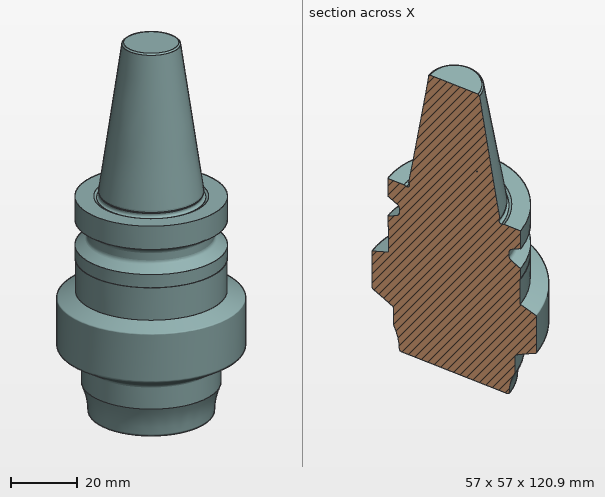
import cadquery as cq
import math

total_height = 120.9
gauge_height = 72.5
gauge_bottom = 72.0
relief_top = 71.6
flange_top = 70.6
groove_top = 63.0
groove_bottom = 54.8
flange_bottom = 50.4
shoulder_top = 39.8
collar_top = 37.6
collar_bottom = 21.8
nose_top = 9.9

gauge_radius = 15.8
relief_radius = 15.6
undercut_radius = 17.3
flange_radius = 23.0
groove_radius = 19.1
neck_radius = 22.9
collar_diameter = 57.0
collar_radius = collar_diameter / 2
nose_radius = 21.0
nose_tip_radius = 19.1

tip_chamfer = 0.5
undercut_depth = 0.4
undercut_fillet = 0.8
groove_fillet = 1.2
collar_top_fillet = 0.5
collar_bottom_fillet = 1.0
nose_root_fillet = 1.0
nose_edge_fillet = 0.8

taper_slope = 7 / 48
slope_rise = math.tan(math.radians(30))
tip_radius = gauge_radius - (total_height - gauge_height) * taper_slope
groove_rise = (flange_radius - groove_radius) * slope_rise
nose_root = collar_bottom - (collar_radius - nose_radius) * slope_rise

undercut_floor = flange_top - undercut_depth
undercut_floor_radius = relief_radius + undercut_fillet

flank_depth = nose_radius - nose_tip_radius
flank_height = nose_top - nose_edge_fillet
flank_arc_radius = (flank_height**2 + flank_depth**2) / (2 * flank_depth)
flank_mid_angle = math.asin(flank_height / flank_arc_radius) / 2
flank_middle = (
    nose_tip_radius + flank_arc_radius * (1 - math.cos(flank_mid_angle)),
    nose_edge_fillet + flank_arc_radius * math.sin(flank_mid_angle),
)


def revolve(profile):
    """Turn a closed (radius, height) profile about the Z axis."""
    return profile.close().revolve(360, (0, 0), (0, 1))


def fillet_circle(body, radius, height, fillet_radius):
    """Round the circular edge at the given radius and height."""
    reach = 0.01
    box = cq.selectors.BoxSelector(
        (-radius - reach, -radius - reach, height - reach),
        (radius + reach, radius + reach, height + reach),
        boundingbox=True,
    )
    return body.edges(box).edges("%CIRCLE").fillet(fillet_radius)


def make_shank():
    """Tapered shank with a short gauge cylinder and a narrowed root, sunk to the undercut floor."""
    profile = (
        cq.Workplane("XZ")
        .moveTo(0, undercut_floor)
        .lineTo(relief_radius, undercut_floor)
        .lineTo(relief_radius, relief_top)
        .lineTo(gauge_radius, gauge_bottom)
        .lineTo(gauge_radius, gauge_height)
        .lineTo(tip_radius, total_height)
        .lineTo(0, total_height)
    )
    return revolve(profile).faces(">Z").edges().chamfer(tip_chamfer)


def make_holder():
    """Grooved flange, neck, collar and clamping nose."""
    profile = (
        cq.Workplane("XZ")
        .moveTo(0, 0)
        .lineTo(nose_tip_radius - nose_edge_fillet, 0)
        .radiusArc((nose_tip_radius, nose_edge_fillet), -nose_edge_fillet)
        .threePointArc(flank_middle, (nose_radius, nose_top))
        .lineTo(nose_radius, nose_root)
        .lineTo(collar_radius, collar_bottom)
        .lineTo(collar_radius, collar_top)
        .lineTo(neck_radius, shoulder_top)
        .lineTo(neck_radius, flange_bottom)
        .lineTo(flange_radius, flange_bottom)
        .lineTo(flange_radius, groove_bottom)
        .lineTo(groove_radius, groove_bottom + groove_rise)
        .lineTo(groove_radius, groove_top - groove_rise)
        .lineTo(flange_radius, groove_top)
        .lineTo(flange_radius, flange_top)
        .lineTo(undercut_radius, flange_top)
        .lineTo(undercut_floor_radius, undercut_floor)
        .radiusArc((relief_radius, undercut_floor + undercut_fillet), undercut_fillet)
        .lineTo(0, undercut_floor + undercut_fillet)
    )
    body = revolve(profile)
    rounded_circles = [
        (nose_radius, nose_root, nose_root_fillet),
        (collar_radius, collar_bottom, collar_bottom_fillet),
        (collar_radius, collar_top, collar_top_fillet),
        (groove_radius, groove_bottom + groove_rise, groove_fillet),
        (groove_radius, groove_top - groove_rise, groove_fillet),
    ]
    for radius, height, fillet_radius in rounded_circles:
        body = fillet_circle(body, radius, height, fillet_radius)
    return body


result = make_holder().union(make_shank())